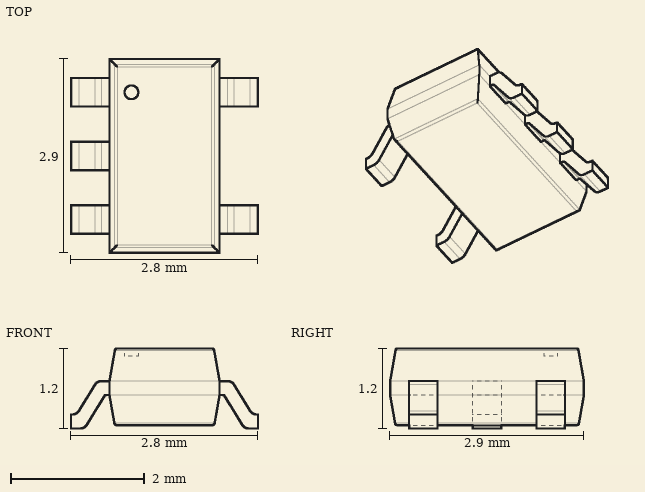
import cadquery as cq
import math

body_width = 1.65
body_length = 2.9
body_bottom = 0.05
body_top = 1.2
draft_angle = 10.0
rim_fillet = 0.04

mark_diameter = 0.205
mark_depth = 0.12
mark_side_inset = 0.33
mark_end_inset = 0.5

lead_span = 2.8
lead_width = 0.43
lead_pitch = 0.95
lead_thickness = 0.212
lead_top = 0.71
shoulder_length = 0.183
foot_length = 0.087
wide_bend_radius = 0.113
tight_bend_radius = 0.02

band_bottom = lead_top - lead_thickness


def tapered_block(start_height, height):
    """Rectangular frustum from the band, narrowing away from it; negative heights go down."""
    return (
        cq.Workplane("XY")
        .workplane(offset=start_height)
        .rect(body_width, body_length)
        .extrude(height, taper=draft_angle)
    )


def make_body():
    band = (
        cq.Workplane("XY")
        .workplane(offset=band_bottom)
        .rect(body_width, body_length)
        .extrude(lead_thickness)
    )
    upper = tapered_block(lead_top, body_top - lead_top).faces(">Z").edges().fillet(rim_fillet)
    lower = tapered_block(band_bottom, body_bottom - band_bottom).faces("<Z").edges().fillet(rim_fillet)
    mark_x = mark_side_inset - body_width / 2
    mark_y = body_length / 2 - mark_end_inset
    mark = (
        cq.Workplane("XY")
        .workplane(offset=body_top - mark_depth)
        .center(mark_x, mark_y)
        .circle(mark_diameter / 2)
        .extrude(mark_depth)
    )
    return band.union(upper).union(lower).cut(mark)


def make_lead(side, y_center):
    """Gull-wing lead; side is -1 for the -X row and 1 for the +X row."""
    root_x = body_width / 2
    tip_x = lead_span / 2
    knee_x = root_x + shoulder_length
    heel_x = tip_x - foot_length

    slope_angle = math.atan2(lead_top - lead_thickness, heel_x - knee_x)
    under_knee_x = knee_x - lead_thickness * math.tan(slope_angle / 2)
    slope_run = band_bottom / math.tan(slope_angle)
    under_heel_x = under_knee_x + slope_run

    outline = [
        (root_x, lead_top),
        (knee_x, lead_top),
        (heel_x, lead_thickness),
        (tip_x, lead_thickness),
        (tip_x, 0),
        (under_heel_x, 0),
        (under_knee_x, band_bottom),
        (root_x, band_bottom),
    ]
    lead = (
        cq.Workplane("XZ", origin=(0, y_center + lead_width / 2, 0))
        .polyline([(side * x, z) for x, z in outline])
        .close()
        .extrude(lead_width)
    )

    bends = [
        (knee_x, lead_top, wide_bend_radius),
        (heel_x, lead_thickness, wide_bend_radius),
        (under_heel_x, 0, wide_bend_radius),
        (under_knee_x, band_bottom, tight_bend_radius),
    ]
    for x, z, radius in bends:
        corner = cq.selectors.NearestToPointSelector((side * x, y_center, z))
        lead = lead.edges("|Y").edges(corner).fillet(radius)
    return lead


body = make_body()

lead_rows = {-1: (-lead_pitch, 0, lead_pitch), 1: (-lead_pitch, lead_pitch)}
leads = []
for row_side, row_positions in lead_rows.items():
    for lead_y in row_positions:
        leads.append(make_lead(row_side, lead_y).val())

result = cq.Compound.makeCompound([body.val(), *leads])